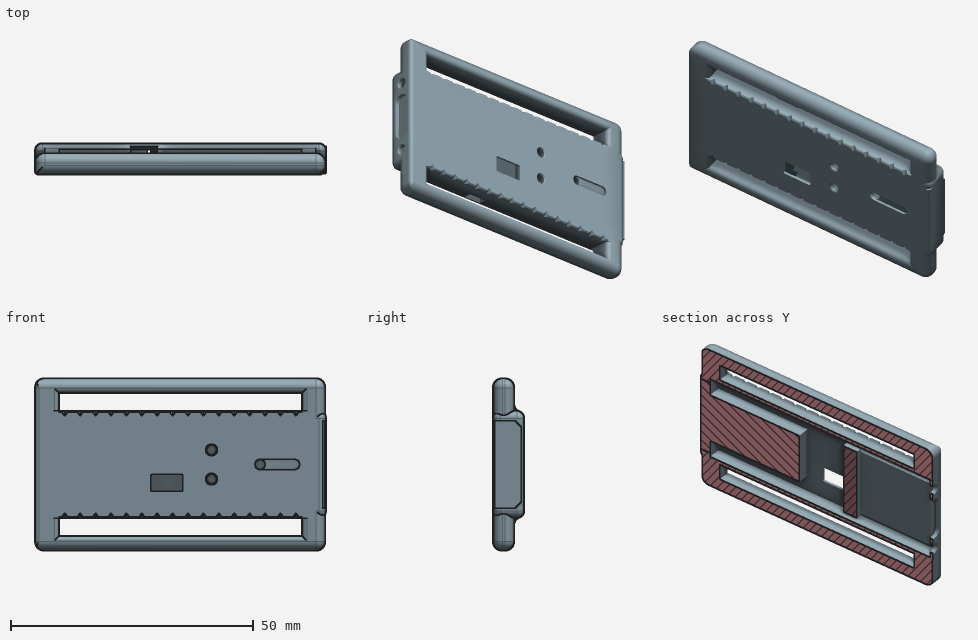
import cadquery as cq
import math

frame_length = 59.86
frame_depth = 4.44
frame_height = 35.6
outer_round = 2.0
left_front_round = 0.8

spine_length = 60.0
spine_depth = 6.48
spine_half_height = 11.05
spine_round = 1.5
root_margin = 2.0

slot_start = 5.0
slot_end = 55.0
slot_inner = spine_half_height
slot_outer = 14.7
slot_rim_round = 1.0
selection_margin = 0.01
grip_edge_chamfer = 0.25
notch_count = 16
notch_pitch = 3.175
notch_first = 6.15
notch_half_width = 0.8
notch_reach = 1.0
notch_tilt = 45.0

cavity_start = 0.9
cavity_front = 0.5
cavity_back = 5.9
cavity_half_height = 10.0
cavity_chamfer = 1.3
mouth_half_height = 9.0
mouth_start = 59.3

port_width = 3.6
port_height = 10.1
port_depth = 2.85
end_hole_diameter = 2.0
end_hole_offset = 7.65
rim_chamfer = 0.2

screw_hole_x = 36.4
screw_hole_offset = 3.0
screw_hole_diameter = 2.0
screw_points = [(screw_hole_x, screw_hole_offset), (screw_hole_x, -screw_hole_offset)]
window_left = 23.9
window_width = 6.6
window_top = -2.05
window_height = 3.5
window_round = 0.3
guide_left = 45.35
guide_length = 9.2
guide_width = 2.1
blind_hole_end = 2.5

opening_start = 19.7
upper_opening_end = 25.25
lower_opening_end = 23.9
opening_front = 3.5
upper_opening_back = 5.85
switch_back = 5.1
switch_half_height = 8.6

board_start = 1.5
board_end = 23.2
board_back = 2.04
board_half_height = 8.0
drawer_start = 34.5
drawer_half_height = 6.0
drawer_flange_start = 57.5
lip_front = 0.15
lip_chamfer = 0.3


def block(x, y, z):
    """Box between the given (low, high) limits on each axis."""
    size = [high - low for low, high in (x, y, z)]
    return cq.Workplane("XY").box(*size, centered=False).translate((x[0], y[0], z[0]))


def rounded_plate(start, end, front_round):
    """Frame-sized plate with rounded corners, its front rim rounded by front_round."""
    half = frame_height / 2
    plate = block((start, end), (0, frame_depth), (-half, half))
    plate = plate.edges("|Y").fillet(outer_round)
    plate = plate.faces(">Y").edges().fillet(outer_round)
    return plate.faces("<Y").edges().fillet(front_round)


def frame():
    """Plate whose front rim has a smaller round on the left end than elsewhere."""
    spare = 4 * outer_round
    broad = rounded_plate(-spare, frame_length, outer_round)
    left_rim = rounded_plate(0, frame_length + spare, left_front_round)
    return broad.intersect(left_rim)


def spine():
    """Raised back, rounded on every edge."""
    body = block((0, spine_length), (0, spine_depth), (-spine_half_height, spine_half_height))
    body = body.edges("|Y").fillet(spine_round)
    return body.faces("<Y or >Y").edges().fillet(spine_round)


def spine_root():
    """Concave blend from the back of the frame up onto the rounded side of the spine."""
    arc_y = spine_depth - spine_round
    arc_z = spine_half_height - spine_round
    hollow_y = frame_depth + spine_round
    hollow_z = arc_z + math.sqrt((2 * spine_round) ** 2 - (hollow_y - arc_y) ** 2)
    touch_y = (arc_y + hollow_y) / 2
    touch_z = (arc_z + hollow_z) / 2
    slant = spine_round * math.sqrt(0.5)
    return (
        cq.Workplane("YZ", origin=(root_margin, 0, 0))
        .moveTo(touch_y, touch_z)
        .threePointArc((hollow_y - slant, hollow_z - slant), (frame_depth, hollow_z))
        .lineTo(frame_depth - root_margin, hollow_z)
        .lineTo(frame_depth - root_margin, arc_z)
        .lineTo(touch_y, arc_z)
        .close()
        .extrude(frame_length - 2 * root_margin)
    )


def both_sides(upper):
    """The given shape together with its mirror image below the middle."""
    return upper.union(upper.mirror("XY"))


def cut_strap_slots(body):
    """Cut the strap slots and round their outer, left and right front edges."""
    slot = block((slot_start, slot_end), (0, spine_depth), (slot_inner, slot_outer))
    body = body.cut(both_sides(slot))
    for side in (1, -1):
        inner = side * (slot_inner + selection_margin)
        outer = side * (slot_outer + selection_margin)
        rim = cq.selectors.BoxSelector(
            (slot_start - selection_margin, -selection_margin, inner),
            (slot_end + selection_margin, selection_margin, outer),
        )
        body = body.edges(rim).fillet(slot_rim_round)
    return body


def grips():
    """Angled V notches and a small chamfer along the inner front edge of each strap slot."""
    half_width = notch_half_width / math.sin(math.radians(notch_tilt))
    notch = (
        cq.Workplane("XZ")
        .polyline([(0, 0), (half_width, notch_reach), (-half_width, notch_reach)])
        .close()
        .extrude(2 * notch_reach, both=True)
        .rotate((0, 0, 0), (1, 0, 0), notch_tilt)
        .translate((0, 0, slot_inner - notch_reach))
    )
    cutter = (
        cq.Workplane("YZ", origin=(slot_start, 0, 0))
        .moveTo(0, slot_inner - grip_edge_chamfer)
        .lineTo(0, slot_inner)
        .lineTo(grip_edge_chamfer, slot_inner)
        .close()
        .extrude(slot_end - slot_start)
    )
    for index in range(notch_count):
        cutter = cutter.union(notch.translate((notch_first + index * notch_pitch, 0, 0)))
    return both_sides(cutter)


def chamfered_block(start, end, half_height):
    """Block filling the cavity depth, its back corners chamfered to follow the rounded spine."""
    body = block((start, end), (cavity_front, cavity_back), (-half_height, half_height))
    return body.edges(">Y and |X").chamfer(cavity_chamfer)


def rim_cone(center, direction, hole_diameter):
    """Cone that chamfers the mouth of a round hole."""
    radius = hole_diameter / 2
    cone = cq.Solid.makeCone(
        radius + rim_chamfer, radius, rim_chamfer, pnt=cq.Vector(*center), dir=cq.Vector(*direction)
    )
    return cq.Workplane(cone)


def mouth_step(front):
    """Strip across the mouth of the cavity, reaching from the given depth to the cavity front."""
    return block(
        (mouth_start, spine_length), (front, cavity_front), (-mouth_half_height, mouth_half_height)
    )


def end_openings():
    """Rounded port with a round hole above and below it, through the left end wall."""
    wall = cq.Workplane("YZ", origin=(0, port_depth, 0))
    holes = [(0, end_hole_offset), (0, -end_hole_offset)]
    port = wall.slot2D(port_height, port_width, 90).extrude(cavity_start)
    cutter = port.union(wall.pushPoints(holes).circle(end_hole_diameter / 2).extrude(cavity_start))
    for _, z in holes:
        cutter = cutter.union(rim_cone((0, port_depth, z), (1, 0, 0), end_hole_diameter))
    return cutter


def front_cylinders(points, diameter, depth):
    """Round cutters running from the front face into the part."""
    return cq.Workplane("XZ").pushPoints(points).circle(diameter / 2).extrude(-depth)


def front_openings():
    """Window, guide slot and two screw holes through the front wall."""
    window = block(
        (window_left, window_left + window_width),
        (0, cavity_front),
        (window_top - window_height, window_top),
    )
    guide = (
        cq.Workplane("XZ", origin=(guide_left + guide_length / 2, 0, 0))
        .slot2D(guide_length, guide_width)
        .extrude(-cavity_front)
    )
    cutter = window.edges("|Y").fillet(window_round).union(guide).union(screw_holes())
    for x, z in screw_points:
        cutter = cutter.union(rim_cone((x, 0, z), (0, 1, 0), screw_hole_diameter))
    return cutter


def screw_holes():
    """Blind screw holes that pass through the front wall into the drawer."""
    return front_cylinders(screw_points, screw_hole_diameter, blind_hole_end)


def switch_openings():
    """Slots through the upper and lower cavity walls, the upper one longer and taller."""
    upper = block(
        (opening_start, upper_opening_end),
        (opening_front, upper_opening_back),
        (switch_half_height, slot_inner),
    )
    lower = block(
        (opening_start, lower_opening_end),
        (opening_front, switch_back),
        (-slot_inner, -switch_half_height),
    )
    return upper.union(lower)


def make_housing():
    """Hollow frame and spine with all their openings."""
    body = frame().union(spine()).union(both_sides(spine_root()))
    body = cut_strap_slots(body).cut(grips())
    body = body.cut(chamfered_block(cavity_start, drawer_flange_start, cavity_half_height))
    body = body.cut(chamfered_block(drawer_flange_start, spine_length, mouth_half_height))
    body = body.cut(mouth_step(0))
    body = body.cut(end_openings()).cut(front_openings())
    return body.cut(switch_openings())


def make_board():
    """Flat board lying on the front wall of the cavity."""
    return block(
        (board_start, board_end), (cavity_front, board_back), (-board_half_height, board_half_height)
    )


def make_switch():
    """Slider standing on the board behind the upper and lower openings."""
    return block(
        (opening_start, board_end),
        (board_back, switch_back),
        (-switch_half_height, switch_half_height),
    )


def make_drawer():
    """Block behind the guide slot with a flange that closes the right end of the cavity."""
    core = block(
        (drawer_start, drawer_flange_start),
        (cavity_front, cavity_back),
        (-drawer_half_height, drawer_half_height),
    )
    flange = chamfered_block(drawer_flange_start, spine_length, mouth_half_height)
    lip = mouth_step(lip_front).edges("<Y and >X").chamfer(lip_chamfer)
    guide_hole = front_cylinders([(guide_left + guide_width / 2, 0)], guide_width, blind_hole_end)
    return core.union(flange).union(lip).cut(guide_hole).cut(screw_holes())


housing = make_housing()
board = make_board()
switch = make_switch()
drawer = make_drawer()

result = cq.Compound.makeCompound([housing.val(), board.val(), switch.val(), drawer.val()])